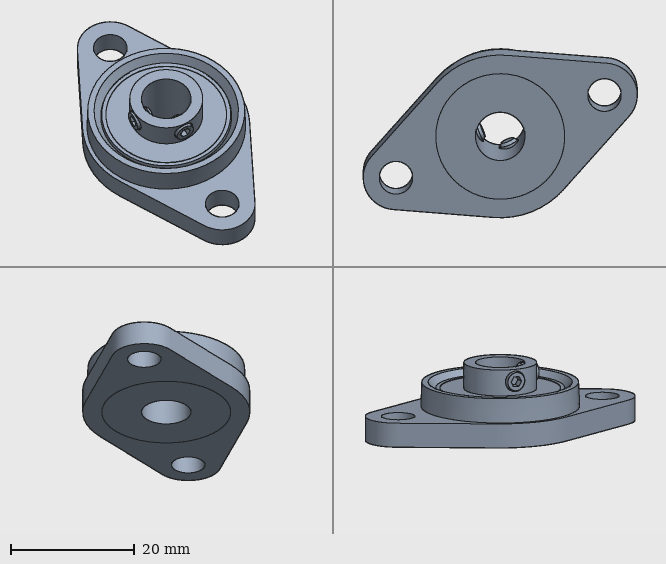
import cadquery as cq
import math

LENGTH = 46.95
WIDTH = 27.0
FLANGE_THICKNESS = 4.0
EAR_RADIUS = 5.3
MOUNT_HOLE_DIAMETER = 5.4
MIDDLE_RADIUS = WIDTH / 2
EAR_X = LENGTH / 2 - EAR_RADIUS

BOSS_TOP = 2 * FLANGE_THICKNESS
BOSS_BASE_RADIUS = 12.8
BOSS_TOP_RADIUS = 12.7
MOUTH_RADIUS = 11.65
MOUTH_BOTTOM = 6.55

RACE_TOP = 7.05
RACE_CENTER_Z = RACE_TOP / 2
SPHERE_RADIUS = 11.0
SEAL_DIAMETER = 19.5
SEAL_RECESS = 0.1
COLLAR_DIAMETER = 11.8
COLLAR_TOP = 11.2
BORE_DIAMETER = 8.0

SCREW_Z = 9.25
SCREW_DIAMETER = 3.0
SCREW_HOLE_DIAMETER = 3.4
SCREW_INNER_END = 3.05
SCREW_OUTER_END = 6.2
SCREW_POINT_RADIUS = 1.1
SCREW_POINT_LENGTH = 0.5
SOCKET_FLATS = 1.6
SOCKET_DEPTH = 1.4
SCREW_ANGLES = (0, -90)


def sphere_section_radius(z):
    """Radius of the spherical race at height z."""
    return math.sqrt(SPHERE_RADIUS**2 - (z - RACE_CENTER_Z) ** 2)


def make_flange():
    tangent_sin = (MIDDLE_RADIUS - EAR_RADIUS) / EAR_X
    tangent_cos = math.sqrt(1 - tangent_sin**2)
    mid_x = MIDDLE_RADIUS * tangent_sin
    mid_y = MIDDLE_RADIUS * tangent_cos
    ear_x = EAR_X + EAR_RADIUS * tangent_sin
    ear_y = EAR_RADIUS * tangent_cos
    return (
        cq.Workplane("XY")
        .moveTo(-mid_x, mid_y)
        .threePointArc((0, MIDDLE_RADIUS), (mid_x, mid_y))
        .lineTo(ear_x, ear_y)
        .threePointArc((LENGTH / 2, 0), (ear_x, -ear_y))
        .lineTo(mid_x, -mid_y)
        .threePointArc((0, -MIDDLE_RADIUS), (-mid_x, -mid_y))
        .lineTo(-ear_x, -ear_y)
        .threePointArc((-LENGTH / 2, 0), (-ear_x, ear_y))
        .close()
        .extrude(FLANGE_THICKNESS)
        .faces(">Z")
        .workplane(origin=(0, 0, FLANGE_THICKNESS))
        .pushPoints([(-EAR_X, 0), (EAR_X, 0)])
        .hole(MOUNT_HOLE_DIAMETER)
    )


def make_boss():
    return (
        cq.Workplane("XZ")
        .moveTo(0, FLANGE_THICKNESS)
        .lineTo(BOSS_BASE_RADIUS, FLANGE_THICKNESS)
        .lineTo(BOSS_TOP_RADIUS, BOSS_TOP)
        .lineTo(0, BOSS_TOP)
        .close()
        .revolve(360, (0, 0), (0, 1))
    )


def make_seat_cutter():
    """Space inside the housing: spherical seat below, conical mouth above."""
    return (
        cq.Workplane("XZ")
        .lineTo(sphere_section_radius(0), 0)
        .threePointArc((SPHERE_RADIUS, RACE_CENTER_Z), (sphere_section_radius(MOUTH_BOTTOM), MOUTH_BOTTOM))
        .lineTo(MOUTH_RADIUS, BOSS_TOP)
        .lineTo(0, BOSS_TOP)
        .close()
        .revolve(360, (0, 0), (0, 1))
    )


def make_housing():
    return make_flange().union(make_boss()).cut(make_seat_cutter())


def place_radially(body, angle):
    """Move a body built along +X from the origin to screw height and turn it about Z."""
    return body.translate((0, 0, SCREW_Z)).rotate((0, 0, 0), (0, 0, 1), angle)


def make_insert():
    seal_z = RACE_TOP - SEAL_RECESS
    race_edge = sphere_section_radius(RACE_TOP)
    insert = (
        cq.Workplane("XZ")
        .moveTo(BORE_DIAMETER / 2, 0)
        .lineTo(race_edge, 0)
        .threePointArc((SPHERE_RADIUS, RACE_CENTER_Z), (race_edge, RACE_TOP))
        .lineTo(SEAL_DIAMETER / 2, RACE_TOP)
        .lineTo(SEAL_DIAMETER / 2, seal_z)
        .lineTo(COLLAR_DIAMETER / 2, seal_z)
        .lineTo(COLLAR_DIAMETER / 2, COLLAR_TOP)
        .lineTo(BORE_DIAMETER / 2, COLLAR_TOP)
        .close()
        .revolve(360, (0, 0), (0, 1))
    )
    screw_hole = cq.Workplane("YZ").circle(SCREW_HOLE_DIAMETER / 2).extrude(COLLAR_DIAMETER)
    for angle in SCREW_ANGLES:
        insert = insert.cut(place_radially(screw_hole, angle))
    return insert


def make_screw(angle):
    """Set screw with a tapered point toward the bore and a hex socket outside."""
    screw_radius = SCREW_DIAMETER / 2
    screw = (
        cq.Workplane("XY")
        .moveTo(SCREW_INNER_END, 0)
        .lineTo(SCREW_INNER_END, SCREW_POINT_RADIUS)
        .lineTo(SCREW_INNER_END + SCREW_POINT_LENGTH, screw_radius)
        .lineTo(SCREW_OUTER_END, screw_radius)
        .lineTo(SCREW_OUTER_END, 0)
        .close()
        .revolve(360, (0, 0), (1, 0))
    )
    socket_corners = SOCKET_FLATS / math.cos(math.pi / 6)
    socket = (
        cq.Workplane("YZ", origin=(SCREW_OUTER_END, 0, 0))
        .polygon(6, socket_corners)
        .extrude(-SOCKET_DEPTH)
    )
    return place_radially(screw.cut(socket), angle)


housing = make_housing()
insert = make_insert()
screws = [make_screw(angle) for angle in SCREW_ANGLES]

result = cq.Compound.makeCompound([housing.val(), insert.val(), *[screw.val() for screw in screws]])